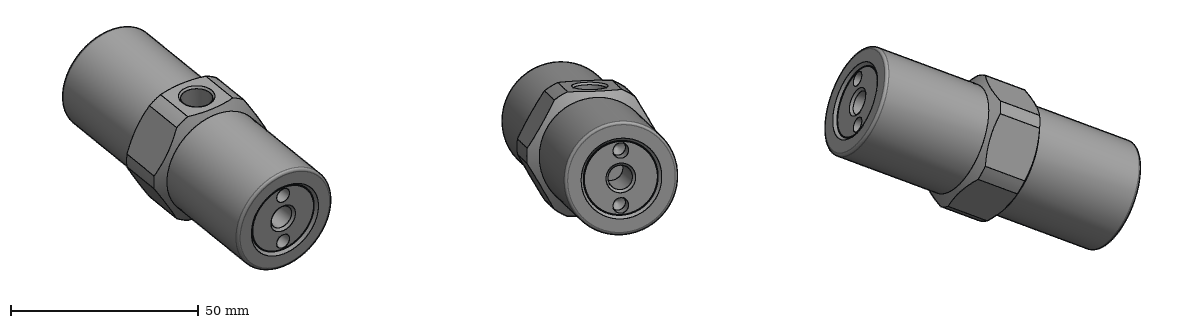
import cadquery as cq
import math

LENGTH = 81.0
BODY_DIA = 31.0
END_FILLET = 0.8

HEX_FLATS = 34.0
HEX_TURNED_DIA = 37.1
HEX_WIDTH = 16.0
HEX_BEVEL_LENGTH = 1.8

RECESS_DIA = 20.4
RECESS_DEPTH = 0.8
RECESS_RIM_DIA = RECESS_DIA + 2 * RECESS_DEPTH
COVER_BEVEL = 0.25

CENTRE_DIA = 6.65
CENTRE_DEPTH = 13.0
CENTRE_RIM_DIA = 8.1

PIN_DIA = 4.2
PIN_DEPTH = 4.05
PIN_SPACING = 15.0

PORT_DIA = 8.6
PORT_RIM_DIA = 9.7
CORE_DIA = 12.0
PORT_OPENING = 4.7

DRILL_HALF_ANGLE = math.radians(59)


def revolve_x(profile):
    """Solid of revolution about the X axis from (x, radius) points."""
    return cq.Workplane("XY").polyline(profile).close().revolve(360, (0, 0, 0), (1, 0, 0))


def drill(diameter, depth):
    """Cutter along +X from the origin with a pointed end."""
    radius = diameter / 2
    tip = depth + radius / math.tan(DRILL_HALF_ANGLE)
    return revolve_x([(0, 0), (0, radius), (depth, radius), (tip, 0)])


def countersink(rim_dia, hole_dia):
    """45 degree cone along +X from the origin, narrowing from the rim to the hole."""
    rim_radius = rim_dia / 2
    hole_radius = hole_dia / 2
    depth = rim_radius - hole_radius
    return revolve_x([(0, 0), (0, rim_radius), (depth, hole_radius), (depth, 0)])


def cylinder_x(diameter, start, length):
    """Round bar along X."""
    return cq.Workplane("YZ", origin=(start, 0, 0)).circle(diameter / 2).extrude(length)


def collar():
    """Hexagon with flats above and below, turned to a round bar with bevelled ends."""
    half = HEX_WIDTH / 2
    shoulder = half - HEX_BEVEL_LENGTH
    corners_dia = HEX_FLATS / math.cos(math.pi / 6)
    hexagon = cq.Workplane("YZ", origin=(-half, 0, 0)).polygon(6, corners_dia).extrude(HEX_WIDTH)
    profile = [
        (-half, 0),
        (-half, BODY_DIA / 2),
        (-shoulder, HEX_TURNED_DIA / 2),
        (shoulder, HEX_TURNED_DIA / 2),
        (half, BODY_DIA / 2),
        (half, 0),
    ]
    turned = revolve_x(profile)
    return hexagon.intersect(turned)


def cover_groove():
    """V-shaped ring left between the recess wall and the bevelled edge of the cover."""
    radius = RECESS_DIA / 2
    return revolve_x([(0, radius - COVER_BEVEL), (0, radius), (COVER_BEVEL, radius)])


def end_cutter():
    """Everything removed from the -X end: recess, central hole and pin holes."""
    recess = countersink(RECESS_RIM_DIA, RECESS_DIA)
    details = cylinder_x(CENTRE_DIA, 0, CENTRE_DEPTH).union(countersink(CENTRE_RIM_DIA, CENTRE_DIA))
    for z in (-PIN_SPACING / 2, PIN_SPACING / 2):
        details = details.union(drill(PIN_DIA, PIN_DEPTH).translate((0, 0, z)))
    details = details.union(cover_groove())
    return recess.union(details.translate((RECESS_DEPTH, 0, 0))).translate((-LENGTH / 2, 0, 0))


def port_cutter():
    """Port drilled down from the upper flat until its cone breaks onto the round core."""
    cone_height = (PORT_DIA - PORT_OPENING) / 2 / math.tan(DRILL_HALF_ANGLE)
    depth = (HEX_FLATS - CORE_DIA) / 2 - cone_height
    port = drill(PORT_DIA, depth).union(countersink(PORT_RIM_DIA, PORT_DIA))
    port = port.rotate((0, 0, 0), (0, 1, 0), 90).translate((0, 0, HEX_FLATS / 2))
    return port.cut(cylinder_x(CORE_DIA, -PORT_DIA / 2, PORT_DIA))


body = cylinder_x(BODY_DIA, -LENGTH / 2, LENGTH).faces("<X or >X").edges().fillet(END_FILLET)
near_end = end_cutter()
far_end = near_end.mirror("YZ")
result = body.union(collar()).cut(near_end).cut(far_end).cut(port_cutter())